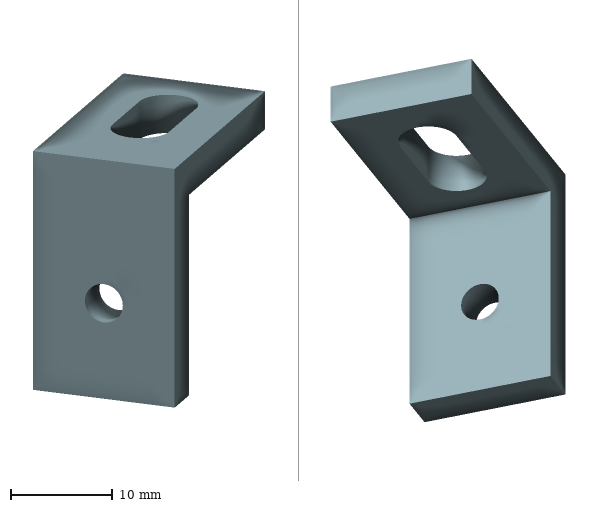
import cadquery as cq

width = 15.0
depth = 25.0
height = 25.0
thickness = 4.0

hole_diameter = 4.0
hole_height = 10.0

slot_width = 6.0
slot_length = 13.5
slot_center_y = 14.0


def angle_body():
    """L-shaped solid, centred on X, front face at Y = 0 and bottom at Z = 0."""
    horizontal_plate = cq.Workplane("XY").box(width, depth, thickness, centered=(True, False, False))
    horizontal_plate = horizontal_plate.translate((0, 0, height - thickness))
    vertical_plate = cq.Workplane("XY").box(width, thickness, height, centered=(True, False, False))
    return horizontal_plate.union(vertical_plate)


def hole_cutter():
    """Cylinder through the vertical plate, along Y."""
    profile = cq.Workplane("XZ").center(0, hole_height).circle(hole_diameter / 2)
    return profile.extrude(-thickness)


def slot_cutter():
    """Round-ended slot through the horizontal plate, long side along Y."""
    plane = cq.Workplane("XY").workplane(offset=height - thickness)
    return plane.center(0, slot_center_y).slot2D(slot_length, slot_width, 90).extrude(thickness)


result = angle_body().cut(hole_cutter()).cut(slot_cutter())